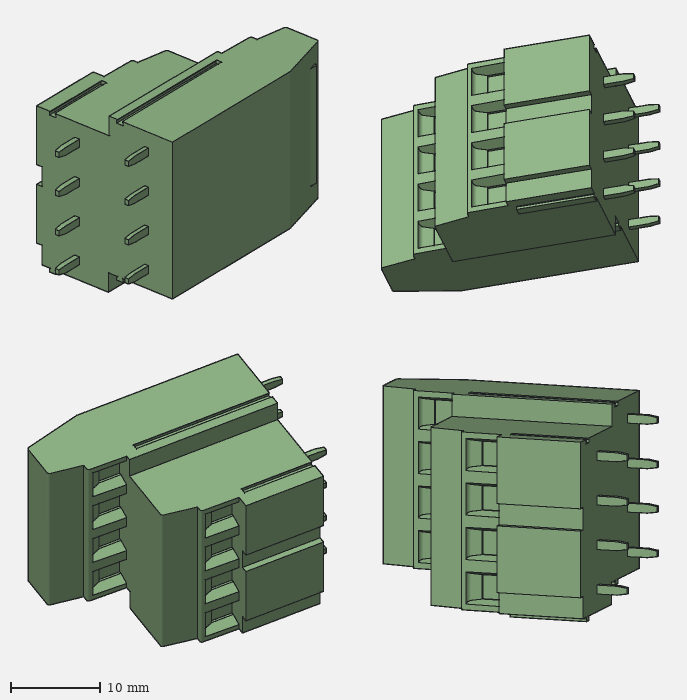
import cadquery as cq


total_width = 23.35
rail_height = 0.5
pole_count = 4
pitch = (total_width - rail_height) / (pole_count + 0.5)
row_length = pole_count * pitch
stagger = pitch / 2

total_height = 31.7
ledge_height = 10.0
front_shelf_height = 14.85
front_height = 19.05
rear_shelf_height = 24.0
rear_height = 28.18
rear_slope_start = 20.7

depth = 19.85
recess_depth = 0.8
panel_count = 2
panel_spacing = 2 * pitch
panel_length = panel_spacing - stagger
front_face = 1.6
front_face_lean = 0.1
front_slope_start = 2.47
front_slope_end = 3.23
front_back = 10.5
rear_side = 10.62
rear_face = 11.25
rear_face_lean = 0.13
rear_slope_foot = 12.3
rear_top_start = 13.0
rear_top_end = 17.8
front_edge_radius = 0.25
rear_edge_radius = 0.32

funnel_height = 4.28
funnel_length = 3.75
funnel_lip_depth = 0.35
funnel_curve_depth = 0.92
funnel_curve_drop = 0.32
funnel_slope_depth = 1.33
pocket_depth = 1.62
pocket_height = 2.8
pocket_length = 2.8

ridge_crest_x = 18.4
ridge_crest_height = 27.15
ridge_top_height = 27.35
ridge_length = row_length - pitch

rail_neck_width = 0.7
rail_width = 0.95
rail_taper_height = 0.2
front_rail_x = 2.35
rear_rail_x = 12.17
front_rail_length = 9.07
rear_rail_length = 17.5

pin_length = total_height - rear_height
pin_taper_start = 2.38
pin_thickness = 1.0
pin_tip_thickness = 0.65
front_pin_x = 5.93
front_pin_width = 0.7
front_pin_tip_width = 0.55
rear_pin_x = 16.07
rear_pin_width = 0.55


def prism(points, bottom, length):
    return cq.Workplane("XY").workplane(offset=bottom).polyline(points).close().extrude(length)


def soften(body, corners, radius):
    """Round the Z edges that stand at the given (x, y) corners."""
    reach = radius / 4
    for x, y in corners:
        corner = cq.selectors.BoxSelector(
            (x - reach, y - reach, -row_length), (x + reach, y + reach, 2 * row_length)
        )
        body = body.edges("|Z").edges(corner).fillet(radius)
    return body


def front_tier():
    shelf_corner = (front_face + front_face_lean, front_shelf_height)
    top_corner = (front_slope_end, front_height)
    outline = [
        (recess_depth, 0),
        (recess_depth, ledge_height),
        (front_face, ledge_height),
        shelf_corner,
        (front_slope_start, front_shelf_height),
        top_corner,
        (front_back, front_height),
        (front_back, 0),
    ]
    body = soften(prism(outline, 0, row_length), [shelf_corner, top_corner], front_edge_radius)
    for index in range(panel_count):
        panel = cq.Workplane("XY").box(
            front_face, ledge_height, panel_length, centered=False
        )
        body = body.union(panel.translate((0, 0, stagger + index * panel_spacing)))
    return body


def rear_tier():
    shelf_corner = (rear_face + rear_face_lean, rear_shelf_height)
    top_corners = [(rear_top_start, rear_height), (rear_top_end, rear_height)]
    outline = [
        (rear_side, 0),
        (rear_side, front_height),
        (rear_face, front_height),
        shelf_corner,
        (rear_slope_foot, rear_shelf_height),
        *top_corners,
        (depth, rear_slope_start),
        (depth, 0),
    ]
    body = prism(outline, stagger, row_length)
    return soften(body, [shelf_corner, *top_corners], rear_edge_radius)


def tier_joint():
    """Fill the clearance between the tiers where they stand side by side."""
    return cq.Workplane("XY").box(
        rear_side - front_back, front_height, row_length - stagger, centered=False
    ).translate((front_back, 0, stagger))


def funnel(face, base, middle):
    """Wire entry, flush with the ledge below it, that narrows into a shallow pocket."""
    top = base + funnel_height
    height_profile = (
        cq.Workplane("XY", origin=(0, 0, middle))
        .moveTo(face, base)
        .lineTo(face, top)
        .lineTo(face + funnel_lip_depth, top)
        .tangentArcPoint((face + funnel_curve_depth, top - funnel_curve_drop), relative=False)
        .lineTo(face + funnel_slope_depth, base + pocket_height)
        .lineTo(face + pocket_depth, base + pocket_height)
        .lineTo(face + pocket_depth, base)
        .close()
        .extrude(funnel_length / 2, both=True)
    )
    half_mouth = funnel_length / 2
    half_pocket = pocket_length / 2
    length_profile = [
        (face, middle - half_mouth),
        (face + funnel_slope_depth, middle - half_pocket),
        (face + pocket_depth, middle - half_pocket),
        (face + pocket_depth, middle + half_pocket),
        (face + funnel_slope_depth, middle + half_pocket),
        (face, middle + half_mouth),
    ]
    plan = cq.Workplane("XZ", origin=(0, base, 0)).polyline(length_profile).close()
    return height_profile.intersect(plan.extrude(-funnel_height))


def back_ridge():
    """Small wedge on the sloping back, centred along the row."""
    lean = (depth - rear_top_end) / (rear_height - rear_slope_start)
    outline = [
        (rear_top_end + lean * (rear_height - ridge_top_height), ridge_top_height),
        (ridge_crest_x, ridge_crest_height),
        (ridge_crest_x, rear_height - (ridge_crest_x - rear_top_end) / lean),
    ]
    return prism(outline, stagger + (row_length - ridge_length) / 2, ridge_length)


def dovetail(x, face, length):
    """Dovetail bar that widens from the given Z face towards -Z."""
    half_neck = rail_neck_width / 2
    half_width = rail_width / 2
    outline = [
        (x - half_neck, face),
        (x - half_width, face - rail_taper_height),
        (x - half_width, face - rail_height),
        (x + half_width, face - rail_height),
        (x + half_width, face - rail_taper_height),
        (x + half_neck, face),
    ]
    return cq.Workplane("XZ").polyline(outline).close().extrude(-length)


def pin(x, middle, width, tip_width):
    shank = cq.Workplane("XZ", origin=(x, 0, middle)).rect(width, pin_thickness)
    shank = shank.extrude(pin_taper_start)
    tip = (
        cq.Workplane("XZ", origin=(x, -pin_taper_start, middle))
        .rect(width, pin_thickness)
        .workplane(offset=pin_length - pin_taper_start)
        .rect(tip_width, pin_tip_thickness)
        .loft(ruled=True)
    )
    return shank.union(tip)


result = front_tier().union(rear_tier()).union(tier_joint()).union(back_ridge())

for index in range(pole_count):
    front_middle = (index + 0.5) * pitch
    rear_middle = front_middle + stagger
    result = result.cut(funnel(front_face, ledge_height, front_middle))
    result = result.cut(funnel(rear_face, front_height, rear_middle))
    result = result.union(pin(front_pin_x, front_middle, front_pin_width, front_pin_tip_width))
    result = result.union(pin(rear_pin_x, rear_middle, rear_pin_width, rear_pin_width))

for x, bottom, length in (
    (front_rail_x, 0, front_rail_length),
    (rear_rail_x, stagger, rear_rail_length),
):
    result = result.cut(dovetail(x, bottom + row_length, length))
    result = result.union(dovetail(x, bottom, length))